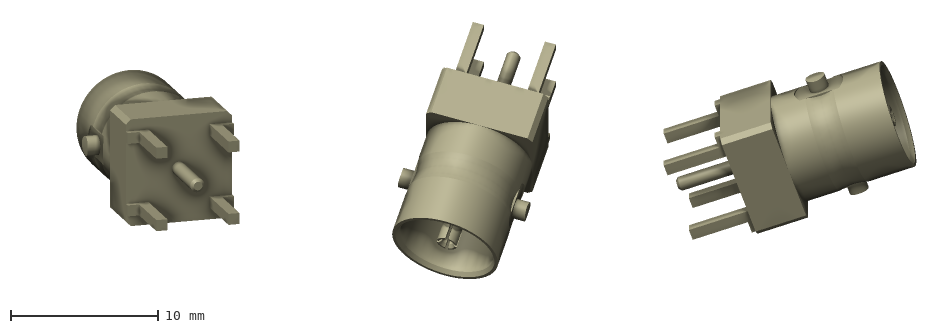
import cadquery as cq

TOTAL_LENGTH = 15.85
BLOCK_FRONT = 7.81
BLOCK_BACK = 11.45

BARREL_RADIUS = 3.75
RIM_RADIUS = 3.52
BORE_FRONT_RADIUS = 3.33
BORE_FLOOR_RADIUS = 3.12
RIM_CHAMFER_LENGTH = 0.3
BORE_DEPTH = 7.61

PIN_X = 4.37
WAIST_RADIUS = 3.6
WAIST_HALF_LENGTH = 1.01

PIN_RADIUS = 0.68
PIN_REACH = 4.51
FLAT_RADIUS = 1.76
FLAT_Y = 3.61
PAD_HEIGHT = 1.97

BLOCK_SIZE = 7.55
BLOCK_CHAMFER = 0.35

LEG_WIDTH = 0.78
LEG_OUTER = 2.95
LEG_CENTRE = LEG_OUTER - LEG_WIDTH / 2
LEG_END = 15.8
FOOT_LENGTH = 0.4

TAIL_RADIUS = 0.49
TAIL_CHAMFER = 0.19

SOCKET_TIP = 0.38
SOCKET_RADIUS = 0.71
SOCKET_MOUTH_RADIUS = 0.57
SOCKET_BORE_RADIUS = 0.41
SOCKET_MOUTH_LENGTH = 0.24
SOCKET_BORE_DEPTH = 4.75
SOCKET_CONE_LENGTH = 0.24
SLOT_WIDTH = 0.2
SLOT_DEPTH = 4.44


def x_cylinder(radius, start, end):
    return cq.Workplane("YZ", origin=(start, 0, 0)).circle(radius).extrude(end - start)


def revolve_about_x(profile):
    return profile.close().revolve(360, (0, 0, 0), (1, 0, 0))


def box(x_start, x_end, y_size, z_size, y=0, z=0):
    length = x_end - x_start
    blank = cq.Workplane("XY").box(length, y_size, z_size)
    return blank.translate((x_start + length / 2, y, z))


def make_barrel():
    waist_start = PIN_X - WAIST_HALF_LENGTH
    waist_end = PIN_X + WAIST_HALF_LENGTH
    profile = (
        cq.Workplane("XY")
        .lineTo(0, BARREL_RADIUS)
        .lineTo(waist_start, BARREL_RADIUS)
        .threePointArc((PIN_X, WAIST_RADIUS), (waist_end, BARREL_RADIUS))
        .lineTo(BLOCK_FRONT, BARREL_RADIUS)
        .lineTo(BLOCK_FRONT, 0)
    )
    return revolve_about_x(profile)


def make_bore():
    profile = (
        cq.Workplane("XY")
        .lineTo(0, RIM_RADIUS)
        .lineTo(RIM_CHAMFER_LENGTH, BORE_FRONT_RADIUS)
        .lineTo(BORE_DEPTH, BORE_FLOOR_RADIUS)
        .lineTo(BORE_DEPTH, 0)
    )
    return revolve_about_x(profile)


def make_flat_cutter(side):
    """Spot face that leaves a flat at FLAT_Y on one side of the barrel."""
    start = (PIN_X, side * FLAT_Y, 0)
    plane = cq.Plane(origin=start, xDir=(1, 0, 0), normal=(0, side, 0))
    return cq.Workplane(plane).circle(FLAT_RADIUS).extrude(BARREL_RADIUS)


def make_pads():
    """Fill the waist under both pins out to the level of the flats."""
    waist_start = PIN_X - WAIST_HALF_LENGTH
    waist_end = PIN_X + WAIST_HALF_LENGTH
    return box(waist_start, waist_end, 2 * FLAT_Y, PAD_HEIGHT)


def make_pins():
    """Cross pin with its ends rounded about the connector axis."""
    bar = cq.Workplane("XZ").center(PIN_X, 0).circle(PIN_RADIUS).extrude(PIN_REACH, both=True)
    envelope = x_cylinder(PIN_REACH, PIN_X - PIN_RADIUS, PIN_X + PIN_RADIUS)
    return bar.intersect(envelope)


def make_block():
    block = box(BLOCK_FRONT, BLOCK_BACK, BLOCK_SIZE, BLOCK_SIZE)
    return block.edges("|X").chamfer(BLOCK_CHAMFER)


def make_leg(y_side, z_side):
    z = z_side * LEG_CENTRE
    leg = box(BLOCK_BACK, LEG_END, LEG_WIDTH, LEG_WIDTH, y_side * LEG_CENTRE, z)
    foot_inner = LEG_OUTER - LEG_WIDTH
    foot_outer = BLOCK_SIZE / 2
    foot_y = y_side * (foot_inner + foot_outer) / 2
    foot = box(
        BLOCK_BACK, BLOCK_BACK + FOOT_LENGTH, foot_outer - foot_inner, LEG_WIDTH, foot_y, z
    )
    return leg.union(foot)


def make_tail():
    tail = x_cylinder(TAIL_RADIUS, BLOCK_BACK, TOTAL_LENGTH)
    return tail.faces(">X").chamfer(TAIL_CHAMFER)


def make_socket():
    bore_end = SOCKET_TIP + SOCKET_BORE_DEPTH
    bore = revolve_about_x(
        cq.Workplane("XY")
        .moveTo(SOCKET_TIP, 0)
        .lineTo(SOCKET_TIP, SOCKET_MOUTH_RADIUS)
        .lineTo(SOCKET_TIP + SOCKET_MOUTH_LENGTH, SOCKET_BORE_RADIUS)
        .lineTo(bore_end, SOCKET_BORE_RADIUS)
        .lineTo(bore_end + SOCKET_CONE_LENGTH, 0)
    )
    socket = x_cylinder(SOCKET_RADIUS, SOCKET_TIP, BORE_DEPTH).cut(bore)
    slot_end = SOCKET_TIP + SLOT_DEPTH
    across = 2 * SOCKET_RADIUS
    for y_size, z_size in ((across, SLOT_WIDTH), (SLOT_WIDTH, across)):
        socket = socket.cut(box(SOCKET_TIP, slot_end, y_size, z_size))
    return socket


body = make_barrel()
for side in (-1, 1):
    body = body.cut(make_flat_cutter(side))
body = body.union(make_pads()).union(make_pins()).cut(make_bore())
body = body.union(make_block()).union(make_tail()).union(make_socket())
for y_side in (-1, 1):
    for z_side in (-1, 1):
        body = body.union(make_leg(y_side, z_side))

result = body